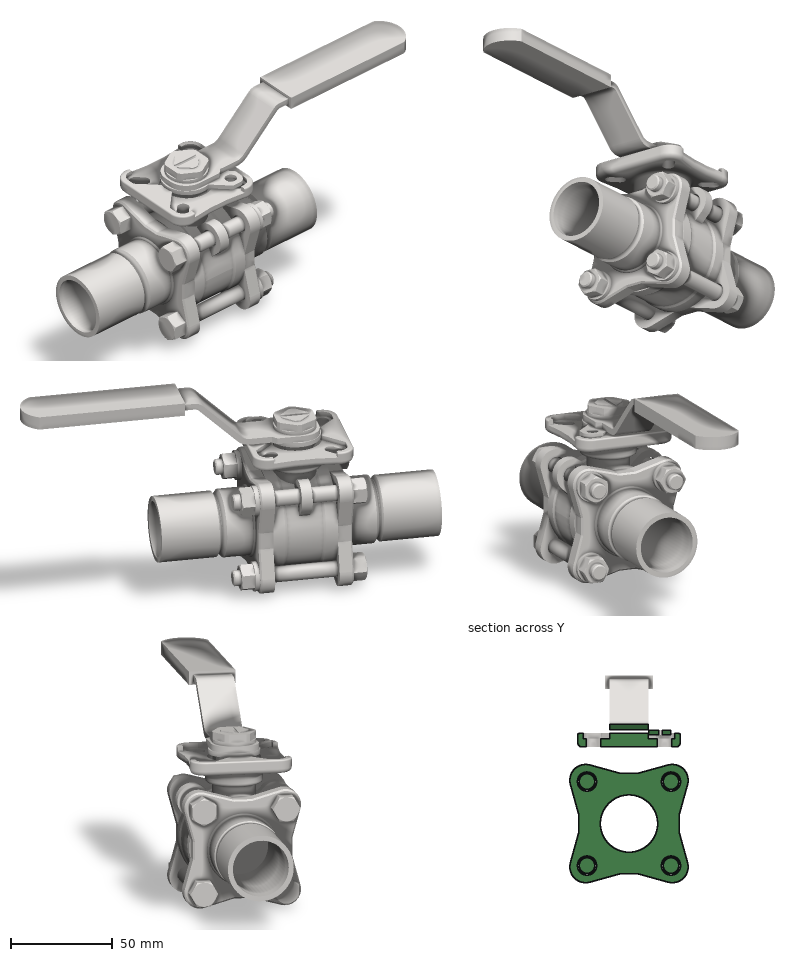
import cadquery as cq
import math


OVERALL_LENGTH = 208.3
CUT_MARGIN = 2.0

PIPE_END_Y = 70.5
PIPE_DIAMETER = 33.0
BORE_DIAMETER = 28.0
COLLAR_DIAMETER = 34.0
COLLAR_FILLET = 1.0
COLLAR_END_Y = 37.7
GROOVE_DIAMETER = 29.5
GROOVE_INNER_Y = 39.5
GROOVE_OUTER_Y = 40.0
PIPE_START_Y = 41.2

RING_DIAMETER = 50.8
WAIST_DIAMETER = 49.5
WAIST_HALF_LENGTH = 8.7
RING_START_Y = 10.2

FLANGE_INNER_Y = 16.2
FLANGE_THICKNESS = 7.3
FLANGE_OUTER_Y = FLANGE_INNER_Y + FLANGE_THICKNESS
FLANGE_HALF_SIZE = 29.2
FLANGE_LOBE_RADIUS = 8.0
FLANGE_WAIST = 24.8
FLANGE_WAIST_HALF_FLAT = 4.4
FLANGE_CHAMFER = 0.8
BOLT_OFFSET = 20.6

BOLT_DIAMETER = 8.0
BOLT_HOLE_DIAMETER = 9.2
BOLT_TIP_CHAMFER = 0.6
BOLT_END_Y = 35.8
HEX_CORNERS = 14.0
HEX_CHAMFER = 0.6
HEAD_HEIGHT = 7.0
WASHER_DIAMETER = 14.8
WASHER_THICKNESS = 2.3
NUT_HEIGHT = 6.5

LUG_RADIUS = 16.5 / 2
LUG_THICKNESS = 5.5

NECK_DIAMETER = 21.5
NECK_TOP_Z = 28.1
BONNET_DIAMETER = 28.3
NECK_FILLET = 1.0
BONNET_BOTTOM_Z = NECK_TOP_Z + NECK_FILLET
BONNET_FILLET = 1.5
PAD_BOTTOM_Z = 37.5
PAD_FLOOR_Z = 41.9
PAD_TOP_Z = 44.4
PAD_HOLE_OFFSET = 18.0
PAD_LOBE_RADIUS = 14.8 / 2
PAD_HALF_SIDE = PAD_HOLE_OFFSET + PAD_LOBE_RADIUS
PAD_WAIST = 23.7
PAD_BOTTOM_FILLET = 2.3
PAD_TOP_FILLET = 0.8
PAD_SLOT_WIDTH = 6.0
PAD_SLOT_INNER = 14.8
RECESS_DIAMETER = 26.5
GLAND_POCKET_DEPTH = 2.0
RECESS_HALF_SIDE = 22.5
RECESS_CORNER_RADIUS = 4.8
RECESS_ARM_WIDTH = 12.5
CHANNEL_WIDTH = 32.0
PAD_CORNER_ANGLES = (45, 135, 225, 315)

STEM_DIAMETER = 14.0
STEM_FLATS = 11.9
STEM_TOP_Z = 55.2
STEM_SLOT_WIDTH = 1.9
STEM_SLOT_DEPTH = 0.6

STOP_BOTTOM_Z = 43.5
STOP_DIAMETER = 25.8
STOP_TAB_HALF_SIDE = 21.0
STOP_HOLE_DIAMETER = 6.0
STOP_HOLE_OFFSET = 15.5

LEVER_THICKNESS = 3.1
LEVER_BOTTOM_Z = 45.8
LEVER_TOP_Z = LEVER_BOTTOM_Z + LEVER_THICKNESS
LEVER_WIDTH = 19.0
LEVER_HUB_WIDTH = 23.7
LEVER_HUB_CORNER_RADIUS = 9.8
LEVER_SHOULDER_Y = 11.2
LOWER_BEND_Y = 27.7
UPPER_BEND_Y = 50.6
LOWER_BEND_RADIUS = 5.5
UPPER_BEND_RADIUS = 3.0

GRIP_START_Y = 57.7
GRIP_END_Y = OVERALL_LENGTH - PIPE_END_Y
GRIP_WIDTH = 23.3
GRIP_HEIGHT = 6.7
GRIP_END_RADIUS = 26.5 / 2
GRIP_WALL = 2.0
GRIP_TOP_Z = 72.7
GRIP_MID_Z = GRIP_TOP_Z - GRIP_HEIGHT / 2
LEVER_RISE = GRIP_MID_Z - LEVER_THICKNESS / 2 - LEVER_BOTTOM_Z

STEM_WASHER_DIAMETER = 21.5
STEM_WASHER_TOP_Z = 50.8
STEM_NUT_FLATS = 19.8
STEM_NUT_CORNERS = 21.7
STEM_NUT_TOP_Z = 54.5

CORNERS = [(sx, sz) for sx in (1, -1) for sz in (1, -1)]


def cylinder_z(diameter, bottom, top):
    """Upright cylinder on the stem axis."""
    return cq.Workplane("XY").workplane(offset=bottom).circle(diameter / 2).extrude(top - bottom)


def cylinder_y(diameter, start, end, x=0, z=0):
    """Cylinder parallel to the pipe."""
    plane = cq.Workplane("XZ", origin=(x, start, z))
    return plane.circle(diameter / 2).extrude(start - end)


def pipe_and_centre():
    """Centre section and both tube ends as two mirrored turned halves."""

    def half(side):
        outline = cq.Workplane("XY").polyline([
            (0, 0),
            (WAIST_DIAMETER / 2, 0),
            (WAIST_DIAMETER / 2, side * WAIST_HALF_LENGTH),
            (RING_DIAMETER / 2, side * RING_START_Y),
            (RING_DIAMETER / 2, side * FLANGE_INNER_Y),
            (COLLAR_DIAMETER / 2 + COLLAR_FILLET, side * FLANGE_INNER_Y),
            (COLLAR_DIAMETER / 2 + COLLAR_FILLET, side * FLANGE_OUTER_Y),
        ])
        fillet_end = (COLLAR_DIAMETER / 2, side * (FLANGE_OUTER_Y + COLLAR_FILLET))
        outline = outline.radiusArc(fillet_end, -side * COLLAR_FILLET)
        for radius, y in [
            (COLLAR_DIAMETER / 2, COLLAR_END_Y),
            (GROOVE_DIAMETER / 2, GROOVE_INNER_Y),
            (GROOVE_DIAMETER / 2, GROOVE_OUTER_Y),
            (PIPE_DIAMETER / 2, PIPE_START_Y),
            (PIPE_DIAMETER / 2, PIPE_END_Y),
            (BORE_DIAMETER / 2, PIPE_END_Y),
            (BORE_DIAMETER / 2, FLANGE_INNER_Y),
            (0, FLANGE_INNER_Y),
        ]:
            outline = outline.lineTo(radius, side * y)
        return outline.close().revolve(360, (0, 0), (0, 1))

    return half(-1).union(half(1))


def flange_outline():
    """Square with four round lobes, drawn in to a short flat in the middle of each side."""
    lobe_centre = FLANGE_HALF_SIZE - FLANGE_LOBE_RADIUS
    dx = FLANGE_WAIST - lobe_centre
    dz = FLANGE_WAIST_HALF_FLAT - lobe_centre
    touch = math.atan2(dz, dx) + math.acos(FLANGE_LOBE_RADIUS / math.hypot(dx, dz))

    def lobe_point(angle):
        return (
            lobe_centre + FLANGE_LOBE_RADIUS * math.cos(angle),
            lobe_centre + FLANGE_LOBE_RADIUS * math.sin(angle),
        )

    def turned(point, quarter):
        x, z = point
        for _ in range(quarter):
            x, z = -z, x
        return (x, z)

    outline = cq.Workplane("XZ").moveTo(FLANGE_WAIST, -FLANGE_WAIST_HALF_FLAT)
    for quarter in range(4):
        outline = outline.lineTo(*turned((FLANGE_WAIST, FLANGE_WAIST_HALF_FLAT), quarter))
        outline = outline.lineTo(*turned(lobe_point(touch), quarter))
        middle = turned(lobe_point(math.pi / 4), quarter)
        outline = outline.threePointArc(middle, turned(lobe_point(math.pi / 2 - touch), quarter))
        outline = outline.lineTo(*turned((FLANGE_WAIST_HALF_FLAT, FLANGE_WAIST), quarter))
    return outline.close()


def end_flanges():
    """The -Y flange and its mirror image, chamfered outside and drilled for bolts and bore."""
    flange = flange_outline().extrude(FLANGE_THICKNESS)
    flange = flange.faces("<Y").chamfer(FLANGE_CHAMFER)
    flange = flange.translate((0, -FLANGE_INNER_Y, 0))
    flange = flange.cut(cylinder_y(BORE_DIAMETER, -FLANGE_INNER_Y, -FLANGE_OUTER_Y))
    for sx, sz in CORNERS:
        hole = cylinder_y(
            BOLT_HOLE_DIAMETER, -FLANGE_INNER_Y, -FLANGE_OUTER_Y, sx * BOLT_OFFSET, sz * BOLT_OFFSET
        )
        flange = flange.cut(hole)
    return flange.union(flange.mirror("XZ"))


def bolt_lugs():
    """Two round-ended arms that reach from the centre section around the upper bolts."""
    reach = math.hypot(BOLT_OFFSET, BOLT_OFFSET)
    arm = cq.Workplane("XZ").center(reach / 2, 0).slot2D(reach + 2 * LUG_RADIUS, 2 * LUG_RADIUS)
    arm = arm.extrude(LUG_THICKNESS / 2, both=True)
    hole = cylinder_y(BOLT_HOLE_DIAMETER, -LUG_THICKNESS, LUG_THICKNESS, reach)
    arm = arm.cut(hole)
    right = arm.rotate((0, 0, 0), (0, 1, 0), -45)
    return right.union(right.mirror("YZ"))


def hex_block(height):
    """Hexagon from the XZ plane towards -Y, with the corners of its far face turned off."""
    block = cq.Workplane("XZ").polygon(6, HEX_CORNERS).extrude(height)
    cone_base = HEX_CORNERS / 2
    cone_top = HEX_CORNERS * math.cos(math.pi / 6) / 2
    turned = cq.Workplane("XY").polyline([
        (0, 0), (cone_base, 0), (cone_base, HEX_CHAMFER - height), (cone_top, -height), (0, -height),
    ]).close().revolve(360, (0, 0), (0, 1))
    return block.intersect(turned)


def bolt():
    """Bolt with its washer and nut, on the Y axis."""
    shank = cylinder_y(BOLT_DIAMETER, -FLANGE_OUTER_Y, BOLT_END_Y)
    shank = shank.faces(">Y").chamfer(BOLT_TIP_CHAMFER)
    head = hex_block(HEAD_HEIGHT).translate((0, -FLANGE_OUTER_Y, 0))
    washer_end = FLANGE_OUTER_Y + WASHER_THICKNESS
    washer = cylinder_y(WASHER_DIAMETER, FLANGE_OUTER_Y, washer_end)
    nut = hex_block(NUT_HEIGHT).mirror("XZ").rotate((0, 0, 0), (0, 1, 0), 30)
    nut = nut.translate((0, washer_end, 0))
    return shank.union(head).union(washer).union(nut)


def bolts():
    """Four bolts, each a quarter turn about the pipe axis from the last."""
    first = bolt().translate((BOLT_OFFSET, 0, BOLT_OFFSET))
    group = first
    for quarter in range(1, 4):
        group = group.union(first.rotate((0, 0, 0), (0, 1, 0), 90 * quarter))
    return group


def rounded_square(half_side, corner_radius, bottom, top):
    """Upright square block with round corners."""
    block = cq.Workplane("XY").workplane(offset=bottom).rect(2 * half_side, 2 * half_side)
    return block.extrude(top - bottom).edges("|Z").fillet(corner_radius)


def diagonal_arm(angle, width, bottom, top):
    """Bar from the stem axis outwards at an angle to X."""
    length = 2 * PAD_HALF_SIDE
    bar = cq.Workplane("XY").workplane(offset=bottom).center(length / 2, 0).rect(length, width)
    return bar.extrude(top - bottom).rotate((0, 0, 0), (0, 0, 1), angle)


def pad_recess():
    """Sunk floor of the pad: hub, four arms to the lobes and a channel across X."""
    top = PAD_TOP_Z + CUT_MARGIN
    floor = rounded_square(RECESS_HALF_SIDE, RECESS_CORNER_RADIUS, PAD_FLOOR_Z, top)
    arms = cylinder_z(RECESS_DIAMETER, PAD_FLOOR_Z, top)
    for angle in PAD_CORNER_ANGLES:
        arms = arms.union(diagonal_arm(angle, RECESS_ARM_WIDTH, PAD_FLOOR_Z, top))
    arms = arms.intersect(floor)
    arm_edge = RECESS_ARM_WIDTH / math.sqrt(2)
    half_channel = CHANNEL_WIDTH / 2
    outer_x = PAD_HALF_SIDE + CUT_MARGIN
    for side in (1, -1):
        sector = cq.Workplane("XY").workplane(offset=PAD_FLOOR_Z).polyline([
            (0, 0),
            (side * (half_channel - arm_edge), half_channel),
            (side * outer_x, half_channel),
            (side * outer_x, -half_channel),
            (side * (half_channel - arm_edge), -half_channel),
        ]).close().extrude(top - PAD_FLOOR_Z)
        arms = arms.union(sector)
    return arms


def pad_outline():
    """Square with round corners whose -X and +X sides are slightly hollow."""
    side_y = CHANNEL_WIDTH / 2
    lobe_end_x = PAD_HOLE_OFFSET + math.sqrt(PAD_LOBE_RADIUS**2 - (PAD_HOLE_OFFSET - side_y) ** 2)
    lobe_middle = PAD_HOLE_OFFSET + PAD_LOBE_RADIUS / math.sqrt(2)
    outline = cq.Workplane("XY").workplane(offset=PAD_BOTTOM_Z).moveTo(lobe_end_x, -side_y)
    outline = outline.threePointArc((PAD_WAIST, 0), (lobe_end_x, side_y))
    outline = outline.threePointArc((lobe_middle, lobe_middle), (PAD_HOLE_OFFSET, PAD_HALF_SIDE))
    outline = outline.lineTo(-PAD_HOLE_OFFSET, PAD_HALF_SIDE)
    outline = outline.threePointArc((-lobe_middle, lobe_middle), (-lobe_end_x, side_y))
    outline = outline.threePointArc((-PAD_WAIST, 0), (-lobe_end_x, -side_y))
    outline = outline.threePointArc((-lobe_middle, -lobe_middle), (-PAD_HOLE_OFFSET, -PAD_HALF_SIDE))
    outline = outline.lineTo(PAD_HOLE_OFFSET, -PAD_HALF_SIDE)
    outline = outline.threePointArc((lobe_middle, -lobe_middle), (lobe_end_x, -side_y))
    return outline.close()


def mounting_pad():
    """Square actuator pad with four slotted lobes."""
    height = PAD_TOP_Z - PAD_BOTTOM_Z
    pad = pad_outline().extrude(height)
    pad = pad.faces("<Z").edges().fillet(PAD_BOTTOM_FILLET)
    pad = pad.faces(">Z").edges().fillet(PAD_TOP_FILLET)
    pad = pad.cut(pad_recess())
    pad = pad.cut(cylinder_z(RECESS_DIAMETER, PAD_FLOOR_Z - GLAND_POCKET_DEPTH, PAD_FLOOR_Z))
    inner = PAD_SLOT_INNER * math.sqrt(2)
    outer = PAD_HOLE_OFFSET * math.sqrt(2)
    for angle in PAD_CORNER_ANGLES:
        slot = cq.Workplane("XY").workplane(offset=PAD_BOTTOM_Z).center((inner + outer) / 2, 0)
        slot = slot.slot2D(outer - inner + PAD_SLOT_WIDTH, PAD_SLOT_WIDTH).extrude(height)
        pad = pad.cut(slot.rotate((0, 0, 0), (0, 0, 1), angle))
    return pad


def stem_prism(bottom, top):
    """Square bar set cornerwise to X, with its corners turned round."""
    square = cq.Workplane("XY").workplane(offset=bottom).rect(STEM_FLATS, STEM_FLATS)
    square = square.extrude(top - bottom).rotate((0, 0, 0), (0, 0, 1), 45)
    return square.intersect(cylinder_z(STEM_DIAMETER, bottom, top))


def stem_hexagon(bottom, top):
    """Hexagon nut blank on the stem axis, with its corners turned round."""
    full_corners = STEM_NUT_FLATS / math.cos(math.pi / 6)
    blank = cq.Workplane("XY").workplane(offset=bottom).polygon(6, full_corners).extrude(top - bottom)
    return blank.intersect(cylinder_z(STEM_NUT_CORNERS, bottom, top))


def neck_and_stem():
    """Neck, bonnet, gland and slotted stem."""
    neck_radius = NECK_DIAMETER / 2
    bonnet_radius = BONNET_DIAMETER / 2
    neck = cq.Workplane("XZ").moveTo(0, FLANGE_INNER_Y).lineTo(neck_radius, FLANGE_INNER_Y)
    neck = neck.lineTo(neck_radius, NECK_TOP_Z)
    neck = neck.tangentArcPoint((neck_radius + NECK_FILLET, BONNET_BOTTOM_Z), relative=False)
    neck = neck.lineTo(bonnet_radius - BONNET_FILLET, BONNET_BOTTOM_Z)
    neck = neck.tangentArcPoint((bonnet_radius, BONNET_BOTTOM_Z + BONNET_FILLET), relative=False)
    neck = neck.lineTo(bonnet_radius, PAD_BOTTOM_Z - BONNET_FILLET)
    neck = neck.tangentArcPoint((bonnet_radius + BONNET_FILLET, PAD_BOTTOM_Z), relative=False)
    neck = neck.lineTo(0, PAD_BOTTOM_Z).close().revolve(360, (0, 0), (0, 1))
    gland = stem_hexagon(PAD_FLOOR_Z - GLAND_POCKET_DEPTH, STOP_BOTTOM_Z)
    gland = gland.rotate((0, 0, 0), (0, 0, 1), 30)
    slot = cq.Workplane("XY").workplane(offset=STEM_TOP_Z - STEM_SLOT_DEPTH)
    slot = slot.rect(STEM_SLOT_WIDTH, STEM_DIAMETER).extrude(STEM_SLOT_DEPTH)
    stem = stem_prism(PAD_FLOOR_Z, STEM_TOP_Z).cut(slot)
    return neck.union(gland).union(stem)


def make_valve():
    """The fixed valve with its clamping bolts, neck, pad and stem."""
    valve = pipe_and_centre().union(end_flanges()).union(bolt_lugs())
    valve = valve.union(mounting_pad()).union(neck_and_stem())
    return valve.union(bolts())


def make_stop_plate():
    """Washer under the lever, with a drilled tab towards +X +Y."""
    tab = diagonal_arm(45, RECESS_ARM_WIDTH, STOP_BOTTOM_Z, LEVER_BOTTOM_Z)
    limit = rounded_square(STOP_TAB_HALF_SIDE, RECESS_CORNER_RADIUS, STOP_BOTTOM_Z, LEVER_BOTTOM_Z)
    plate = cylinder_z(STOP_DIAMETER, STOP_BOTTOM_Z, LEVER_BOTTOM_Z).union(tab.intersect(limit))
    hole = cylinder_z(STOP_HOLE_DIAMETER, STOP_BOTTOM_Z, LEVER_BOTTOM_Z)
    plate = plate.cut(hole.translate((STOP_HOLE_OFFSET, STOP_HOLE_OFFSET, 0)))
    return plate.cut(stem_prism(STOP_BOTTOM_Z, LEVER_BOTTOM_Z))


def round_ended_bar(width, end_y, end_radius, start_y, bottom, height):
    """Flat bar along Y whose far end is a shallow arc."""
    half = width / 2
    shoulder_y = end_y - end_radius + math.sqrt(end_radius**2 - half**2)
    bar = cq.Workplane("XY").workplane(offset=bottom).moveTo(-half, start_y)
    bar = bar.lineTo(half, start_y).lineTo(half, shoulder_y)
    bar = bar.threePointArc((0, end_y), (-half, shoulder_y)).close()
    return bar.extrude(height)


def lever_end():
    """Straight end of the lever, the part inside the grip."""
    return round_ended_bar(
        LEVER_WIDTH, GRIP_END_Y - GRIP_WALL, GRIP_END_RADIUS - GRIP_WALL, GRIP_START_Y,
        LEVER_BOTTOM_Z + LEVER_RISE, LEVER_THICKNESS,
    )


def lever_hub():
    """Flat plate around the stem, wider than the strip and round at its -Y corners."""
    half_hub = LEVER_HUB_WIDTH / 2
    half_strip = LEVER_WIDTH / 2
    shoulder_end_y = LEVER_SHOULDER_Y + half_hub - half_strip
    hub = cq.Workplane("XY").workplane(offset=LEVER_BOTTOM_Z).polyline([
        (half_hub, -half_hub),
        (half_hub, LEVER_SHOULDER_Y),
        (half_strip, shoulder_end_y),
        (-half_strip, shoulder_end_y),
        (-half_hub, LEVER_SHOULDER_Y),
        (-half_hub, -half_hub),
    ]).close().extrude(LEVER_THICKNESS)
    end_corners = hub.faces("<Y").edges("|Z")
    return end_corners.fillet(LEVER_HUB_CORNER_RADIUS)


def make_lever():
    """Strip bent up in two places, with a wider hub on the stem."""
    slope = math.atan2(LEVER_RISE, UPPER_BEND_Y - LOWER_BEND_Y)
    shift = LEVER_THICKNESS / 2 * math.tan(slope / 2)
    upper_bottom = LEVER_BOTTOM_Z + LEVER_RISE
    strip = cq.Workplane("YZ").polyline([
        (LEVER_SHOULDER_Y, LEVER_BOTTOM_Z),
        (LOWER_BEND_Y + shift, LEVER_BOTTOM_Z),
        (UPPER_BEND_Y + shift, upper_bottom),
        (GRIP_START_Y, upper_bottom),
        (GRIP_START_Y, upper_bottom + LEVER_THICKNESS),
        (UPPER_BEND_Y - shift, upper_bottom + LEVER_THICKNESS),
        (LOWER_BEND_Y - shift, LEVER_TOP_Z),
        (LEVER_SHOULDER_Y, LEVER_TOP_Z),
    ]).close().extrude(LEVER_WIDTH / 2, both=True)

    def bend_edge(y, z):
        return cq.selectors.NearestToPointSelector((0, y, z))

    def fillet_bend(bent, inner_point, outer_point, inner_radius):
        bent = bent.edges(bend_edge(*inner_point)).fillet(inner_radius)
        return bent.edges(bend_edge(*outer_point)).fillet(inner_radius + LEVER_THICKNESS)

    lower_inner = (LOWER_BEND_Y - shift, LEVER_TOP_Z)
    lower_outer = (LOWER_BEND_Y + shift, LEVER_BOTTOM_Z)
    upper_inner = (UPPER_BEND_Y + shift, upper_bottom)
    upper_outer = (UPPER_BEND_Y - shift, upper_bottom + LEVER_THICKNESS)
    strip = fillet_bend(strip, lower_inner, lower_outer, LOWER_BEND_RADIUS)
    strip = fillet_bend(strip, upper_inner, upper_outer, UPPER_BEND_RADIUS)
    lever = strip.union(lever_hub()).union(lever_end())
    return lever.cut(stem_prism(LEVER_BOTTOM_Z, LEVER_TOP_Z))


def make_grip():
    """Sleeve that is pushed over the lever end."""
    grip = round_ended_bar(
        GRIP_WIDTH, GRIP_END_Y, GRIP_END_RADIUS, GRIP_START_Y, GRIP_TOP_Z - GRIP_HEIGHT, GRIP_HEIGHT
    )
    return grip.cut(lever_end())


def make_stem_nut():
    """Hexagon nut on a round collar, clamping the lever to the stem."""
    nut = stem_hexagon(STEM_WASHER_TOP_Z, STEM_NUT_TOP_Z)
    nut = nut.union(cylinder_z(STEM_WASHER_DIAMETER, LEVER_TOP_Z, STEM_WASHER_TOP_Z))
    return nut.cut(stem_prism(LEVER_TOP_Z, STEM_NUT_TOP_Z))


valve = make_valve()
stop_plate = make_stop_plate()
lever = make_lever()
grip = make_grip()
stem_nut = make_stem_nut()

result = cq.Compound.makeCompound(
    [valve.val(), stop_plate.val(), lever.val(), grip.val(), stem_nut.val()]
)